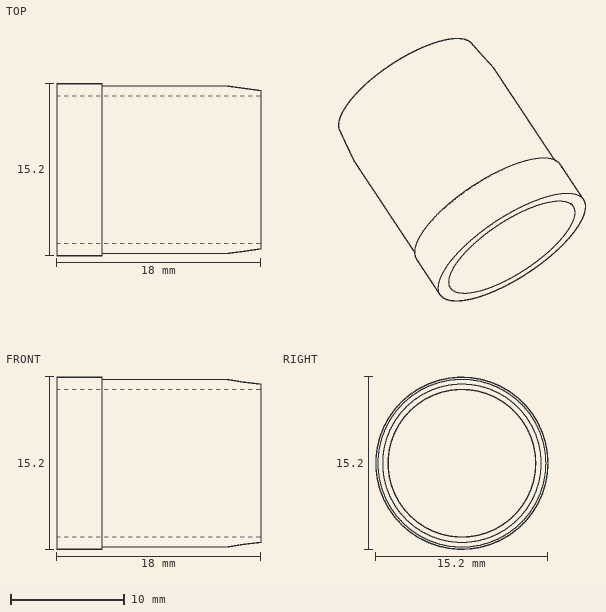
import cadquery as cq

total_length = 18.0
collar_length = 4.0
collar_diameter = 15.2
body_diameter = 14.8
bore_diameter = 13.0
taper_length = 3.0
tip_diameter = 13.97

taper_start = total_length / 2 - taper_length


def cylinder_along_x(diameter, length):
    """Cylinder on the X axis, starting at the collar end of the sleeve."""
    return cq.Workplane("YZ", origin=(-total_length / 2, 0, 0)).circle(diameter / 2).extrude(length)


def tapered_tip():
    """Cone narrowing from the body to the +X end."""
    return (
        cq.Workplane("YZ", origin=(taper_start, 0, 0))
        .circle(body_diameter / 2)
        .workplane(offset=taper_length)
        .circle(tip_diameter / 2)
        .loft(ruled=True)
    )


collar = cylinder_along_x(collar_diameter, collar_length)
body = cylinder_along_x(body_diameter, total_length - taper_length)
bore = cylinder_along_x(bore_diameter, total_length)

result = collar.union(body).union(tapered_tip()).cut(bore)